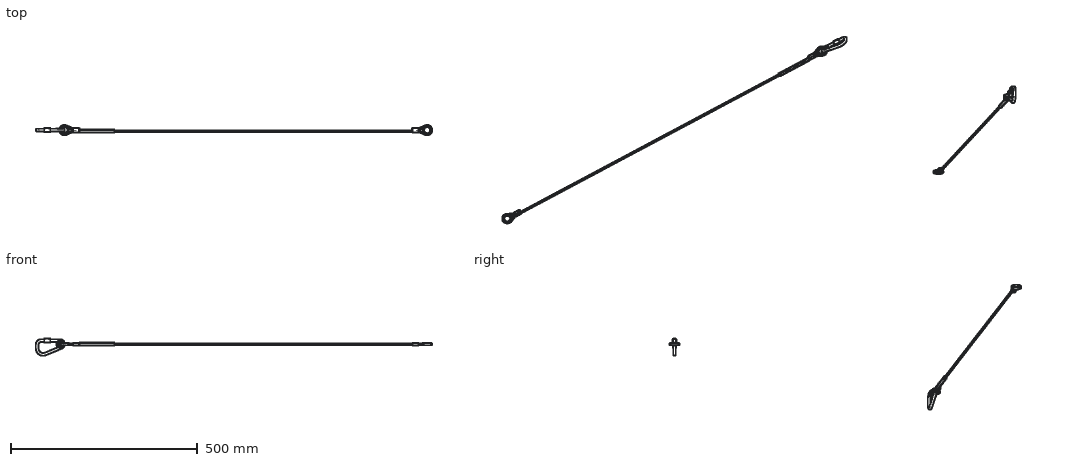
import cadquery as cq
import math


overall_length = 1063.0
overall_height = 46.93
eye_width = 28.0

rope_radius = 2.5
strand_gap = 0.5
strand_offset = rope_radius + strand_gap / 2
eye_radius = eye_width / 2 - rope_radius
mouth_bend_radius = 6.0
tail_length = 2.0

channel_wall = 1.0

ferrule_start = 23.5
ferrule_length = 15.5
ferrule_wall = 1.25

sleeve_radius = 4.5
sleeve_length = 92.0

wire_radius = 4.0
nose_radius = 9.5
upper_bend_radius = 10.5
lower_bend_radius = 16.0
nut_radius = 6.0
nut_length = 15.5
nut_offset = 9.0
carabiner_left_x = -77.0

ferrule_end = ferrule_start + ferrule_length
tail_end = ferrule_end + tail_length
right_eye_x = carabiner_left_x + overall_length - eye_width / 2

thimble_hole_radius = eye_radius - rope_radius - channel_wall
eyelet_hole_radius = nose_radius - wire_radius - channel_wall

nose_x = -thimble_hole_radius - eyelet_hole_radius
bar_z = nose_radius
bottom_z = bar_z + nut_radius - overall_height
back_x = carabiner_left_x + wire_radius
upper_bend = (back_x + upper_bend_radius, bar_z - upper_bend_radius)
lower_bend = (back_x + lower_bend_radius, bottom_z + wire_radius + lower_bend_radius)


def polar(center, radius, angle):
    """Point on a circle at an angle in radians."""
    return (center[0] + radius * math.cos(angle), center[1] + radius * math.sin(angle))


def eye_points():
    """Corners of the +Y leg of the left eye, from the ferrule mouth to where it meets the eye arc."""
    bend = (ferrule_start, strand_offset + mouth_bend_radius)
    distance = math.hypot(*bend)
    leg_normal = math.atan2(bend[1], bend[0]) + math.acos((eye_radius + mouth_bend_radius) / distance)
    bend_start = (ferrule_start, strand_offset)
    bend_end = polar(bend, mouth_bend_radius, leg_normal + math.pi)
    bend_middle = polar(bend, mouth_bend_radius, leg_normal / 2 + 5 * math.pi / 4)
    return bend_start, bend_middle, bend_end, polar((0, 0), eye_radius, leg_normal)


def make_rope():
    bend_start, bend_middle, bend_end, eye_touch = eye_points()

    def right(point):
        return (right_eye_x - point[0], point[1])

    def lower(point):
        return (point[0], -point[1])

    far_side = (-eye_radius, 0)
    path = (
        cq.Workplane("XY")
        .moveTo(tail_end, strand_offset)
        .lineTo(*bend_start)
        .threePointArc(bend_middle, bend_end)
        .lineTo(*eye_touch)
        .threePointArc(far_side, lower(eye_touch))
        .lineTo(*lower(bend_end))
        .threePointArc(lower(bend_middle), lower(bend_start))
        .lineTo(*right(lower(bend_start)))
        .threePointArc(right(lower(bend_middle)), right(lower(bend_end)))
        .lineTo(*right(lower(eye_touch)))
        .threePointArc(right(far_side), right(eye_touch))
        .lineTo(*right(bend_end))
        .threePointArc(right(bend_middle), right(bend_start))
        .lineTo(*right((tail_end, strand_offset)))
    )
    return cq.Workplane("YZ", origin=(tail_end, strand_offset, 0)).circle(rope_radius).sweep(path)


def make_channel_ring(ring_radius, groove_radius):
    outer_radius = groove_radius + channel_wall
    section = (
        cq.Workplane("XZ")
        .moveTo(ring_radius, groove_radius)
        .lineTo(ring_radius, outer_radius)
        .threePointArc((ring_radius - outer_radius, 0), (ring_radius, -outer_radius))
        .lineTo(ring_radius, -groove_radius)
        .threePointArc((ring_radius - groove_radius, 0), (ring_radius, groove_radius))
        .close()
    )
    return section.revolve(360, (0, 0, 0), (0, 1, 0))


def make_thimble(center_x):
    return make_channel_ring(eye_radius, rope_radius).translate((center_x, 0, 0))


def make_eyelet():
    ring = make_channel_ring(nose_radius, wire_radius)
    return ring.rotate((0, 0, 0), (1, 0, 0), 90).translate((nose_x, 0, 0))


def make_ferrule(start_x):
    radius = rope_radius + ferrule_wall
    return (
        cq.Workplane("YZ", origin=(start_x, 0, 0))
        .slot2D(2 * (strand_offset + radius), 2 * radius)
        .pushPoints([(-strand_offset, 0), (strand_offset, 0)])
        .circle(rope_radius)
        .extrude(ferrule_length)
    )


def make_sleeve():
    return (
        cq.Workplane("YZ", origin=(tail_end, -strand_offset, 0))
        .circle(sleeve_radius)
        .circle(rope_radius)
        .extrude(sleeve_length)
    )


def make_frame():
    run = nose_x - lower_bend[0]
    rise = -lower_bend[1]
    bend_taper = math.asin((lower_bend_radius - nose_radius) / math.hypot(run, rise))
    slope = math.atan2(rise, run) + bend_taper
    leg_normal = slope - math.pi / 2
    path = (
        cq.Workplane("XZ")
        .moveTo(upper_bend[0], bar_z)
        .threePointArc(
            polar(upper_bend, upper_bend_radius, 3 * math.pi / 4),
            (back_x, upper_bend[1]),
        )
        .lineTo(back_x, lower_bend[1])
        .threePointArc(
            polar(lower_bend, lower_bend_radius, (leg_normal - math.pi) / 2),
            polar(lower_bend, lower_bend_radius, leg_normal),
        )
        .lineTo(*polar((nose_x, 0), nose_radius, leg_normal))
        .threePointArc(
            polar((nose_x, 0), nose_radius, (leg_normal + math.pi / 2) / 2),
            (nose_x, bar_z),
        )
        .close()
    )
    return cq.Workplane("YZ", origin=(upper_bend[0], 0, bar_z)).circle(wire_radius).sweep(path)


def make_nut():
    return (
        cq.Workplane("YZ", origin=(upper_bend[0] + nut_offset, 0, bar_z))
        .circle(nut_radius)
        .circle(wire_radius)
        .extrude(nut_length)
    )


rope = make_rope()
thimbles = [make_thimble(x) for x in (0, right_eye_x)]
ferrules = [make_ferrule(x) for x in (ferrule_start, right_eye_x - ferrule_end)]
sleeve = make_sleeve()
frame = make_frame()
eyelet = make_eyelet()
nut = make_nut()

result = cq.Compound.makeCompound(
    [
        rope.val(),
        *[thimble.val() for thimble in thimbles],
        *[ferrule.val() for ferrule in ferrules],
        sleeve.val(),
        frame.val(),
        eyelet.val(),
        nut.val(),
    ]
)